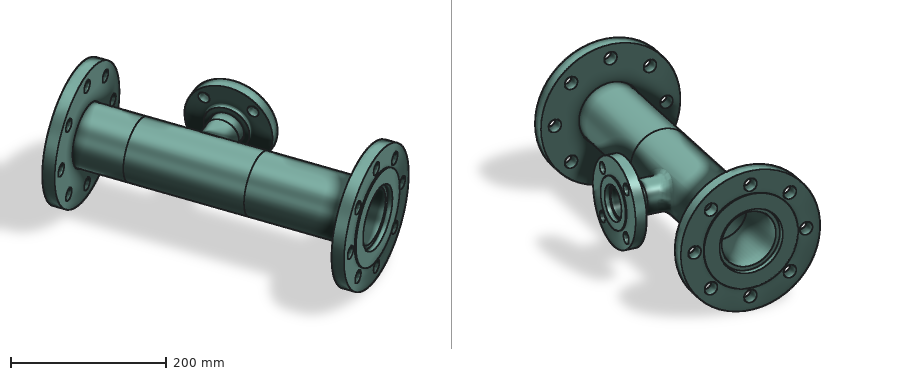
import cadquery as cq
import math

overall_length = 432.0
left_face_x = -177.0
right_face_x = left_face_x + overall_length
pipe_diameter = 89.0
pipe_bore = 77.8
pipe_setback = 7.0

tee_half_length = 85.5
tee_branch_height = 73.5
tee_fillet = 14.5

branch_diameter = 48.0
branch_bore = 41.0
branch_face_y = 111.5
branch_setback = pipe_setback

flange_clearance = 1.0

main_flange_diameter = 200.0
main_flange_thickness = 20.0
main_raised_diameter = 135.0
main_raised_height = 2.0
main_bolt_circle = 160.0
main_bolt_hole = 18.0
main_bolt_count = 8

branch_flange_diameter = 125.3
branch_flange_thickness = 17.5
branch_raised_diameter = 73.0
branch_raised_height = 1.7
branch_bolt_circle = 98.5
branch_bolt_hole = 16.0
branch_bolt_count = 4
hub_diameter = 65.2
hub_height = 6.0
hub_fillet = 2.5


def tube(plane, length, outer_diameter, bore):
    """Plain pipe that starts at the plane and runs along its normal."""
    return cq.Workplane(plane).circle(outer_diameter / 2).circle(bore / 2).extrude(length)


def disc(plane, start, length, diameter):
    """Cylinder along the normal of the plane, beginning at distance start from it."""
    return cq.Workplane(plane).workplane(offset=start).circle(diameter / 2).extrude(length)


def flange_blank(plane, thickness, diameter, raised_height, raised_diameter):
    """Flange disc with its raised sealing face on the plane; thickness includes the raised face."""
    raised_face = disc(plane, 0, raised_height, raised_diameter)
    return disc(plane, raised_height, thickness - raised_height, diameter).union(raised_face)


def cut_flange_holes(blank, plane, depth, bore, bolt_circle, bolt_hole, bolt_count):
    """Pipe bore and bolt holes; the bolts straddle the X direction of the plane."""
    half_pitch = 180 / bolt_count
    bolts = (
        cq.Workplane(plane)
        .polarArray(bolt_circle / 2, half_pitch, 360, bolt_count)
        .circle(bolt_hole / 2)
        .extrude(depth)
    )
    return blank.cut(bolts).cut(disc(plane, 0, depth, bore))


def make_main_flange(face_x, inward):
    """Flange at one end of the run, with a bolt hole straight above the axis."""
    half_pitch = math.pi / main_bolt_count
    up = (0, -math.sin(half_pitch), math.cos(half_pitch))
    plane = cq.Plane(origin=(face_x, 0, 0), xDir=up, normal=(inward, 0, 0))
    blank = flange_blank(
        plane, main_flange_thickness, main_flange_diameter, main_raised_height, main_raised_diameter
    )
    bore = pipe_diameter + 2 * flange_clearance
    return cut_flange_holes(
        blank, plane, main_flange_thickness, bore, main_bolt_circle, main_bolt_hole, main_bolt_count
    )


def make_branch_flange():
    """Hubbed flange at the end of the branch."""
    plane = cq.Plane(origin=(0, branch_face_y, 0), xDir=(0, 0, 1), normal=(0, -1, 0))
    blank = flange_blank(
        plane,
        branch_flange_thickness,
        branch_flange_diameter,
        branch_raised_height,
        branch_raised_diameter,
    )
    hub = disc(plane, branch_flange_thickness, hub_height, hub_diameter)
    back_face_y = branch_face_y - branch_flange_thickness
    hub_root = cq.selectors.BoxSelector(
        (-hub_diameter, back_face_y - hub_height / 2, -hub_diameter),
        (hub_diameter, back_face_y + hub_height / 2, hub_diameter),
    )
    smallest_circle = cq.selectors.RadiusNthSelector(0)
    hubbed_blank = blank.union(hub).edges(hub_root).edges(smallest_circle).fillet(hub_fillet)
    bore = branch_diameter + 2 * flange_clearance
    return cut_flange_holes(
        hubbed_blank,
        plane,
        branch_flange_thickness + hub_height,
        bore,
        branch_bolt_circle,
        branch_bolt_hole,
        branch_bolt_count,
    )


def make_tee():
    """Tee with a smaller branch blended into the run by a fillet."""
    run_plane = cq.Plane(origin=(-tee_half_length, 0, 0), xDir=(0, 0, 1), normal=(1, 0, 0))
    branch_plane = cq.Plane(origin=(0, 0, 0), xDir=(0, 0, 1), normal=(0, 1, 0))
    run_length = 2 * tee_half_length
    run = disc(run_plane, 0, run_length, pipe_diameter)
    branch = disc(branch_plane, 0, tee_branch_height, branch_diameter)
    saddle = cq.selectors.BoxSelector(
        (-branch_diameter, 0, -branch_diameter),
        (branch_diameter, pipe_diameter / 2 + tee_fillet, branch_diameter),
    )
    body = run.union(branch).edges(saddle).edges("not(%CIRCLE or %LINE)").fillet(tee_fillet)
    return (
        body.cut(disc(run_plane, 0, run_length, pipe_bore))
        .cut(disc(branch_plane, 0, tee_branch_height, branch_bore))
    )


def make_left_pipe():
    """Run pipe from inside the left flange to the tee."""
    start_x = left_face_x + pipe_setback
    plane = cq.Plane(origin=(start_x, 0, 0), xDir=(0, 0, 1), normal=(1, 0, 0))
    return tube(plane, -tee_half_length - start_x, pipe_diameter, pipe_bore)


def make_right_pipe():
    """Run pipe from the tee into the right flange."""
    plane = cq.Plane(origin=(tee_half_length, 0, 0), xDir=(0, 0, 1), normal=(1, 0, 0))
    return tube(plane, right_face_x - pipe_setback - tee_half_length, pipe_diameter, pipe_bore)


def make_branch_pipe():
    """Short pipe from the tee branch into the branch flange."""
    plane = cq.Plane(origin=(0, tee_branch_height, 0), xDir=(0, 0, 1), normal=(0, 1, 0))
    length = branch_face_y - branch_setback - tee_branch_height
    return tube(plane, length, branch_diameter, branch_bore)


main_flanges = [make_main_flange(face_x, inward) for face_x, inward in ((left_face_x, 1), (right_face_x, -1))]
tee = make_tee()
left_pipe = make_left_pipe()
right_pipe = make_right_pipe()
branch_pipe = make_branch_pipe()
branch_flange = make_branch_flange()

result = cq.Compound.makeCompound(
    [
        *[flange.val() for flange in main_flanges],
        tee.val(),
        left_pipe.val(),
        right_pipe.val(),
        branch_pipe.val(),
        branch_flange.val(),
    ]
)